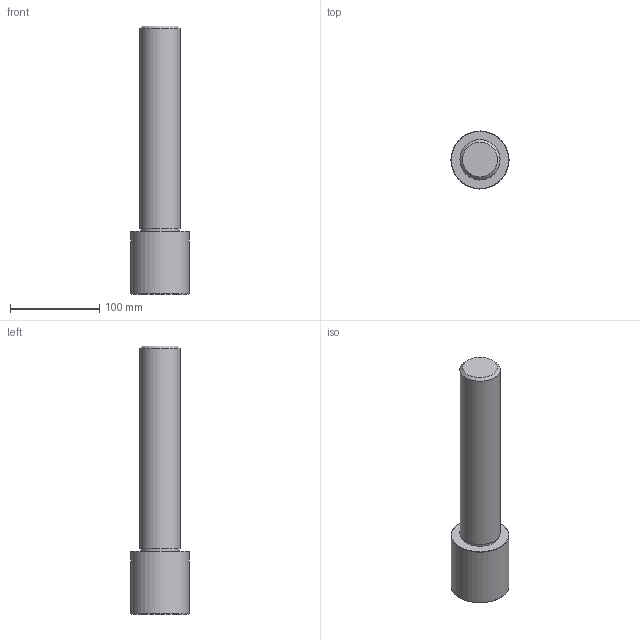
import cadquery as cq

total_length = 300.0
head_diameter = 65.0
head_height = 70.0
head_edge_chamfer = 0.5
shank_diameter = 45.0
shank_tip_chamfer = 3.0
neck_diameter = 43.0
neck_height = 3.0

shank_length = total_length - head_height - neck_height


def make_head():
    """Cylindrical head resting on Z = 0, with both rims broken."""
    head = cq.Workplane("XY").circle(head_diameter / 2).extrude(head_height)
    return head.edges().chamfer(head_edge_chamfer)


def make_neck():
    """Shallow relief between the head and the shank."""
    base = cq.Workplane("XY").workplane(offset=head_height)
    return base.circle(neck_diameter / 2).extrude(neck_height)


def make_shank():
    """Long cylindrical shank with a chamfered tip."""
    base = cq.Workplane("XY").workplane(offset=head_height + neck_height)
    shank = base.circle(shank_diameter / 2).extrude(shank_length)
    return shank.faces(">Z").edges().chamfer(shank_tip_chamfer)


result = make_head().union(make_neck()).union(make_shank())